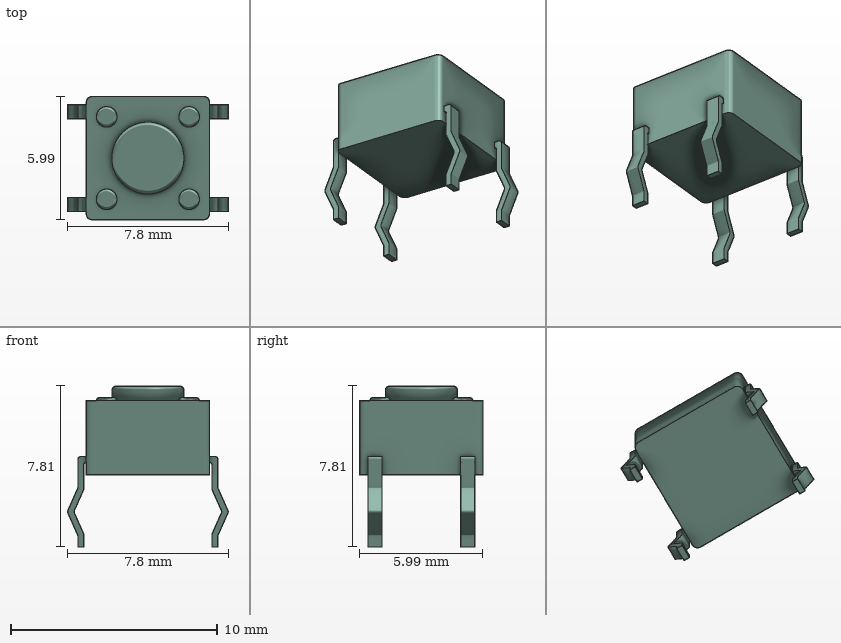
import math

import cadquery as cq

housing_width = 5.99
housing_corner_radius = 0.3
housing_height = 3.6

button_diameter = 3.5
button_top = 4.31
button_edge_radius = 0.2

rivet_diameter = 1.0
rivet_height = 0.15
rivet_edge_radius = 0.149
rivet_offset = 2.0

lead_width = 0.7
lead_thickness = 0.3
lead_offset_y = 2.25
lead_top = 0.9
lead_tip = -3.5
lead_outer_x = 3.4
lead_reach_x = 3.9
lead_embedded_x = 2.7
upper_knee_z = -0.63
elbow_z = -1.785
lower_knee_z = 2 * elbow_z - upper_knee_z
shoulder_outer_radius = 0.15
shoulder_inner_radius = 0.1
kink_radius = 0.15


def make_housing():
    return (
        cq.Workplane("XY")
        .rect(housing_width, housing_width)
        .extrude(housing_height)
        .edges("|Z")
        .fillet(housing_corner_radius)
    )


def make_button():
    return (
        cq.Workplane("XY")
        .circle(button_diameter / 2)
        .extrude(button_top)
        .faces(">Z")
        .edges()
        .fillet(button_edge_radius)
    )


def make_rivet(x, y):
    return (
        cq.Workplane("XY", origin=(x, y, housing_height))
        .circle(rivet_diameter / 2)
        .extrude(rivet_height)
        .faces(">Z")
        .edges()
        .fillet(rivet_edge_radius)
    )


def round_corner(solid, corner, radius):
    """Fillet the edge along Y nearest to the (x, z) corner."""
    x, z = corner
    edge = solid.edges("|Y").edges(cq.selectors.NearestToPointSelector((x, 0, z)))
    return edge.fillet(radius)


def make_lead():
    """Lead on the +X side, centred on Y = 0."""
    kink_angle = math.atan2(lead_reach_x - lead_outer_x, upper_knee_z - elbow_z)
    elbow_x = lead_reach_x + kink_radius * (1 / math.cos(kink_angle) - 1)
    knee_shift = lead_thickness * math.tan(kink_angle / 2)
    inner_x = lead_outer_x - lead_thickness
    inner_elbow_x = elbow_x - lead_thickness / math.cos(kink_angle)

    shoulder_outer = (lead_outer_x, lead_top)
    shoulder_inner = (inner_x, lead_top - lead_thickness)
    kinks = [
        (lead_outer_x, upper_knee_z),
        (elbow_x, elbow_z),
        (lead_outer_x, lower_knee_z),
        (inner_x, lower_knee_z + knee_shift),
        (inner_elbow_x, elbow_z),
        (inner_x, upper_knee_z - knee_shift),
    ]
    outline = [
        (lead_embedded_x, lead_top),
        shoulder_outer,
        *kinks[:3],
        (lead_outer_x, lead_tip),
        (inner_x, lead_tip),
        *kinks[3:],
        shoulder_inner,
        (lead_embedded_x, lead_top - lead_thickness),
    ]
    lead = cq.Workplane("XZ").polyline(outline).close().extrude(lead_width / 2, both=True)

    lead = round_corner(lead, shoulder_outer, shoulder_outer_radius)
    lead = round_corner(lead, shoulder_inner, shoulder_inner_radius)
    for corner in kinks:
        lead = round_corner(lead, corner, kink_radius)
    return lead


result = make_housing().union(make_button())

right_lead = make_lead()
left_lead = right_lead.mirror("YZ")
for side_y in (-1, 1):
    for side_x in (-1, 1):
        result = result.union(make_rivet(side_x * rivet_offset, side_y * rivet_offset))
    for lead in (left_lead, right_lead):
        result = result.union(lead.translate((0, side_y * lead_offset_y, 0)))